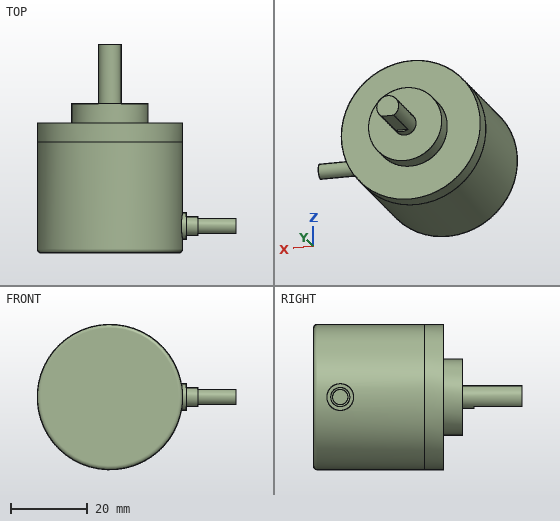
import cadquery as cq

cover_diameter = 38.02
cover_length = 29.0
cover_edge_radius = 1.0

flange_diameter = 38.0
flange_length = 5.0

boss_diameter = 20.0
boss_length = 5.0

shaft_diameter = 6.0
shaft_length = 15.5
shaft_flat_depth = 0.5
shaft_flat_length = 12.5

cable_height = 7.0
gland_diameter = 7.0
gland_reach = 20.0
collar_diameter = 5.0
collar_reach = 23.0
cable_diameter = 4.0
cable_reach = 33.0

flange_start = cover_length
boss_start = flange_start + flange_length
shaft_start = boss_start + boss_length
shaft_end = shaft_start + shaft_length


def cylinder_along_y(diameter, start, length):
    """Cylinder on the main axis, growing towards +Y from the given start."""
    base = cq.Workplane("XZ", origin=(0, start, 0))
    return base.circle(diameter / 2).extrude(-length)


def cylinder_to_cable_side(diameter, reach):
    """Cylinder on the cable axis, from the main axis out to the given reach."""
    base = cq.Workplane("YZ", origin=(0, cable_height, 0))
    return base.circle(diameter / 2).extrude(reach)


def make_housing():
    """Cover with a rounded closed end, then the mounting flange and its boss."""
    cover = cylinder_along_y(cover_diameter, 0, cover_length)
    cover = cover.faces("<Y").edges().fillet(cover_edge_radius)
    flange = cylinder_along_y(flange_diameter, flange_start, flange_length)
    boss = cylinder_along_y(boss_diameter, boss_start, boss_length)
    return cover.union(flange).union(boss)


def make_shaft():
    """Round shaft with a flat on its -Z side, running in from the free end."""
    shaft = cylinder_along_y(shaft_diameter, shaft_start, shaft_length)
    flat_center_y = shaft_end - shaft_flat_length / 2
    flat_center_z = -shaft_diameter / 2 + shaft_flat_depth / 2
    flat_cut = cq.Workplane("XY").box(shaft_diameter, shaft_flat_length, shaft_flat_depth)
    return shaft.cut(flat_cut.translate((0, flat_center_y, flat_center_z)))


def make_cable_exit():
    """Stepped gland, collar and cable stub on the +X side of the cover."""
    gland = cylinder_to_cable_side(gland_diameter, gland_reach)
    collar = cylinder_to_cable_side(collar_diameter, collar_reach)
    cable = cylinder_to_cable_side(cable_diameter, cable_reach)
    return gland.union(collar).union(cable)


result = make_housing().union(make_shaft()).union(make_cable_exit())